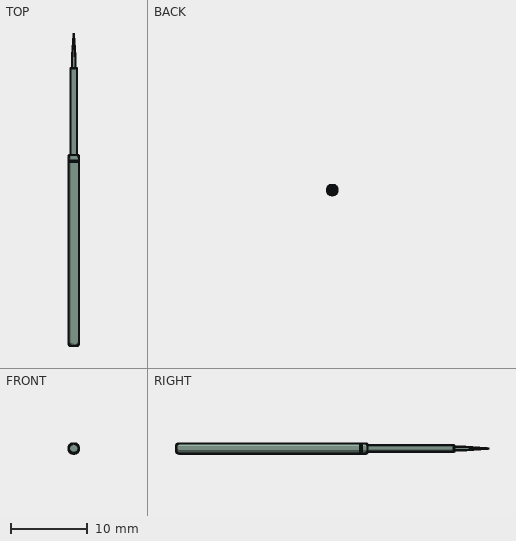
import cadquery as cq


OVERALL_LENGTH = 40.7

BARREL_DIAMETER = 1.37
BARREL_LENGTH = 24.95
TAIL_ROUND_LENGTH = 0.42
TAIL_FLAT_DIAMETER = 0.58
MOUTH_ROUND_RADIUS = 0.30
CRIMP_TO_MOUTH = 0.85
CRIMP_WIDTH = 0.25
CRIMP_DEPTH = 0.06

PLUNGER_DIAMETER = 0.90
SHOULDER_LENGTH = 0.47
SHOULDER_DIAMETER = 0.88
SHOULDER_CHAMFER = 0.08
NEEDLE_LENGTH = 4.45
NEEDLE_CONE_LENGTH = 3.25
NEEDLE_BASE_DIAMETER = 0.50
NEEDLE_TIP_DIAMETER = 0.04

barrel_radius = BARREL_DIAMETER / 2
tail_y = -OVERALL_LENGTH / 2
tip_y = tail_y + OVERALL_LENGTH
mouth_y = tail_y + BARREL_LENGTH
shoulder_y = tip_y - NEEDLE_LENGTH


def revolve_about_y(profile):
    """Turn a closed half profile, drawn in XY with X as radius, about the Y axis."""
    return profile.close().revolve(360, (0, 0, 0), (0, 1, 0))


def make_barrel():
    """Solid barrel body with a rolled mouth, a V-shaped crimp groove and a rounded tail."""
    crimp_y = mouth_y - CRIMP_TO_MOUTH
    profile = (
        cq.Workplane("XY")
        .moveTo(0, tail_y)
        .lineTo(0, mouth_y)
        .lineTo(barrel_radius - MOUTH_ROUND_RADIUS, mouth_y)
        .tangentArcPoint((barrel_radius, mouth_y - MOUTH_ROUND_RADIUS), relative=False)
        .lineTo(barrel_radius, crimp_y + CRIMP_WIDTH / 2)
        .lineTo(barrel_radius - CRIMP_DEPTH, crimp_y)
        .lineTo(barrel_radius, crimp_y - CRIMP_WIDTH / 2)
        .lineTo(barrel_radius, tail_y + TAIL_ROUND_LENGTH)
        .tangentArcPoint((TAIL_FLAT_DIAMETER / 2, tail_y), relative=False)
    )
    return revolve_about_y(profile)


def make_plunger():
    """Round shaft with a slightly tapered, chamfered shoulder and a needle
    with a cylindrical root and a conical point."""
    root_y = tail_y + BARREL_LENGTH / 2
    chamfer_y = shoulder_y - SHOULDER_CHAMFER
    profile = (
        cq.Workplane("XY")
        .moveTo(0, root_y)
        .lineTo(PLUNGER_DIAMETER / 2, root_y)
        .lineTo(PLUNGER_DIAMETER / 2, shoulder_y - SHOULDER_LENGTH)
        .lineTo(SHOULDER_DIAMETER / 2, chamfer_y)
        .lineTo(SHOULDER_DIAMETER / 2 - SHOULDER_CHAMFER, shoulder_y)
        .lineTo(NEEDLE_BASE_DIAMETER / 2, shoulder_y)
        .lineTo(NEEDLE_BASE_DIAMETER / 2, tip_y - NEEDLE_CONE_LENGTH)
        .lineTo(NEEDLE_TIP_DIAMETER / 2, tip_y)
        .lineTo(0, tip_y)
    )
    return revolve_about_y(profile)


result = make_barrel().union(make_plunger())